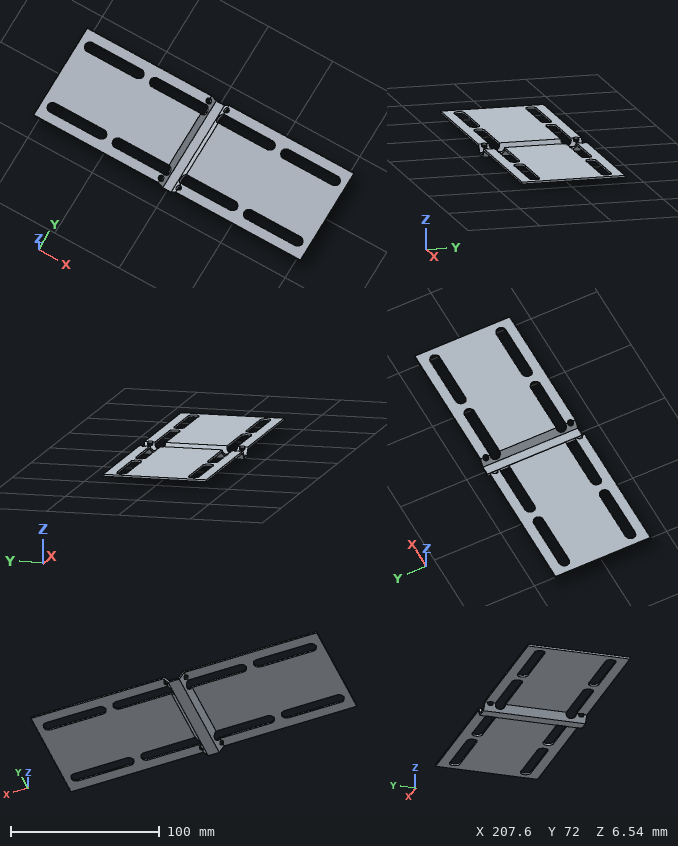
import cadquery as cq
import math

total_length = 207.55
total_width = 72.0
total_height = 6.54

sheet = 1.5
web_angle = 55.0
channel_opening = 13.55

neutral_depth = 0.65

slot_length = 45.0
slot_width = 7.0
slot_starts = (5.0, 55.6)
slot_row_y = 25.0

hole_diameter = 3.7
hole_row_y = 32.0

half_length = total_length / 2
bend_x = -channel_opening / 2
channel_depth = total_height - sheet
web_run = channel_depth / math.tan(math.radians(web_angle))
miter = sheet * math.tan(math.radians(web_angle / 2))
floor_x = bend_x + web_run
cutter_reach = 2 * sheet

upper_bend_top = (bend_x, total_height)
upper_bend_bottom = (bend_x - miter, total_height - sheet)
lower_bend_top = (floor_x, sheet)
lower_bend_bottom = (floor_x - miter, 0)


def prism(points):
    """Extrude an XZ outline over the full width, centred on Y = 0."""
    return cq.Workplane("XZ").polyline(points).close().extrude(total_width / 2, both=True)


def flat_cutters():
    """Slots and holes of the left half, laid out as if the sheet were flat."""
    level = cq.Workplane("XY").workplane(offset=total_height)
    slot_points = [
        (start + slot_length / 2 - half_length, side * slot_row_y)
        for start in slot_starts
        for side in (-1, 1)
    ]
    hole_points = [(bend_x, side * hole_row_y) for side in (-1, 1)]
    slots = level.pushPoints(slot_points).slot2D(slot_length, slot_width)
    slots = slots.extrude(cutter_reach, both=True)
    holes = level.pushPoints(hole_points).circle(hole_diameter / 2)
    return slots.union(holes.extrude(cutter_reach, both=True))


def left_plate():
    """Flat plate up to the mitred bend."""
    outline = [
        (-half_length, total_height),
        upper_bend_top,
        upper_bend_bottom,
        (-half_length, total_height - sheet),
    ]
    return prism(outline).cut(flat_cutters())


def left_web():
    """Sloping wall; its openings run square to the slope."""
    outline = [upper_bend_top, lower_bend_top, lower_bend_bottom, upper_bend_bottom]
    axis_x = bend_x - neutral_depth * miter
    axis_z = total_height - neutral_depth * sheet
    axis_start = (axis_x, 0, axis_z)
    axis_end = (axis_x, 1, axis_z)
    folded_cutters = flat_cutters().rotate(axis_start, axis_end, web_angle)
    return prism(outline).cut(folded_cutters)


def channel_floor():
    """Floor strip, mitred to both walls."""
    left_end = [lower_bend_bottom, lower_bend_top]
    right_end = [(-x, z) for x, z in reversed(left_end)]
    return prism(left_end + right_end)


left_half = left_plate().union(left_web())
right_half = left_half.mirror("YZ")
result = left_half.union(channel_floor()).union(right_half).clean()